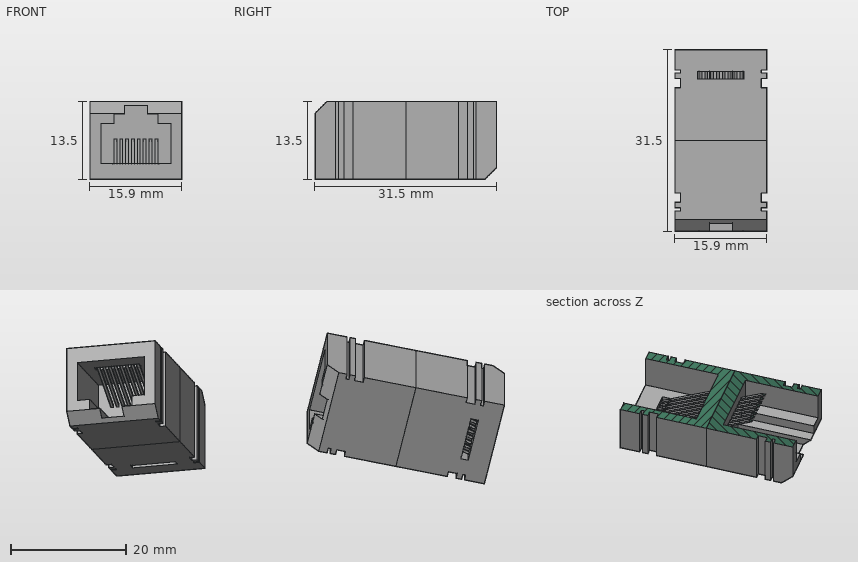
import cadquery as cq

width = 15.95
length = 31.5
height = 13.51
half_length = length / 2

bevel = 2.05

back_wall = 2.5
cavity_depth = half_length - back_wall
floor_height = 2.75
cavity_steps = [
    (12.1, 9.65),
    (7.6, 11.38),
    (4.0, 12.8),
]

groove_depth = 0.95
side_grooves = [
    (3.55, 0.5),
    (5.05, 1.55),
]

slot_width = 8.05
slot_start = 3.77
slot_length = 1.3

contact_count = 8
contact_pitch = 1.016
contact_width = 0.5
contact_height = 0.33
contact_root_height = 2.1
contact_tip_height = 7.02


def block(size_x, start_y, size_y, start_z, size_z, center_x=0.0):
    """Box centred on center_x, growing in +Y and +Z from its start position."""
    corner = (center_x - size_x / 2, start_y, start_z)
    return cq.Workplane("XY").box(size_x, size_y, size_z, centered=False).translate(corner)


def contact(center_x):
    """Sloping contact strip, rising from the front wall of the slot to the back wall of the cavity."""
    return (
        cq.Workplane("YZ")
        .moveTo(slot_start, contact_root_height)
        .lineTo(cavity_depth, contact_tip_height)
        .lineTo(cavity_depth, contact_tip_height - contact_height)
        .lineTo(slot_start, contact_root_height - contact_height)
        .close()
        .extrude(contact_width / 2, both=True)
        .translate((center_x, 0, 0))
    )


def jack():
    """One jack half with its mating face at Y = 0 and its bottom at Z = 0."""
    body = block(width, 0, half_length, 0, height)
    body = body.faces("<Y").edges(">Z").chamfer(bevel)
    for step_width, step_top in cavity_steps:
        body = body.cut(block(step_width, 0, cavity_depth, floor_height, step_top - floor_height))
    for start, groove_width in side_grooves:
        for side in (-1, 1):
            body = body.cut(block(2 * groove_depth, start, groove_width, 0, height, side * width / 2))
    body = body.cut(block(slot_width, slot_start, slot_length, 0, floor_height))
    for index in range(contact_count):
        center_x = (index - (contact_count - 1) / 2) * contact_pitch
        body = body.union(contact(center_x))
    return body.translate((0, -half_length, -height / 2))


front_jack = jack()
rear_jack = front_jack.rotate((0, 0, 0), (1, 0, 0), 180)

result = cq.Compound.makeCompound([front_jack.val(), rear_jack.val()])